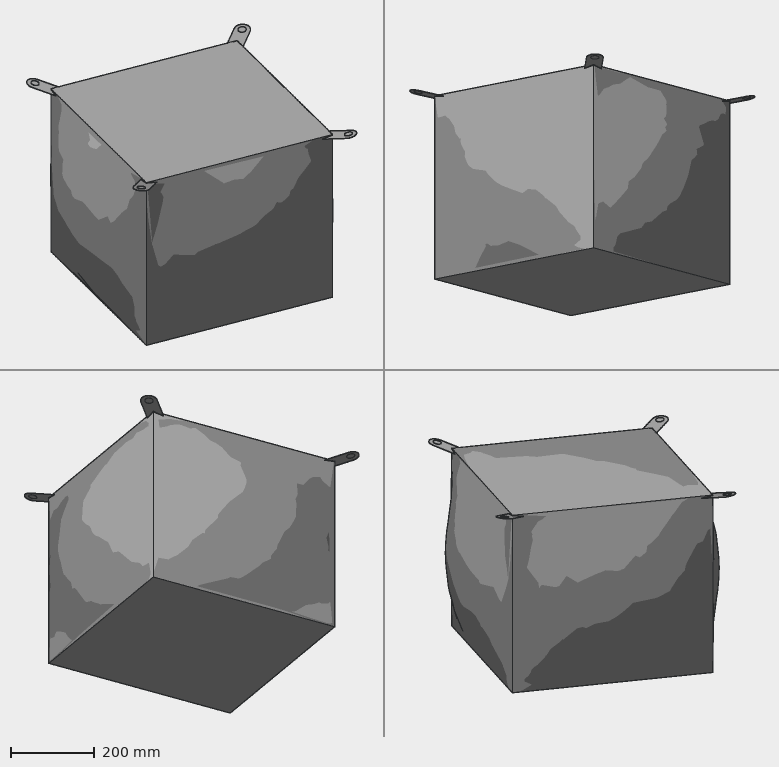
import cadquery as cq
import math

BAG_BULGED_WIDTH = 640.0
BAG_WIDTH = 500.0
BAG_HEIGHT = 450.0
TOP_BULGE = 29.5
WALL_BULGE = (BAG_BULGED_WIDTH - BAG_WIDTH) / 2
ARC_FRACTIONS = [-0.75, -0.5, -0.25, 0.0, 0.25, 0.5, 0.75]

STRAP_WIDTH = 40.5
STRAP_THICKNESS = 1.0
STRAP_TILT = 12.0
STRAP_DROP = 0.5
STRAP_REACH = 40.5
STRAP_ROOT = 38.5
EYELET_DIAMETER = 20.0
EYELET_HEIGHT = 1.0

HALF_WIDTH = BAG_WIDTH / 2


def arc_height(fraction, half_span, rise):
    """Height of a shallow circular arc at a signed fraction of its half span."""
    radius = (half_span**2 + rise**2) / (2 * rise)
    return math.sqrt(radius**2 - (fraction * half_span) ** 2) - (radius - rise)


def bulged_face(corners, bulge):
    """Four straight seams filled by a face through two crossing circular arcs."""
    a, b, c, d = [cq.Vector(*corner) for corner in corners]
    center = (a + c) * 0.5
    half_u = (b - a) * 0.5
    half_v = (d - a) * 0.5
    outward = half_u.cross(half_v).normalized()
    crown_points = []
    for fraction in ARC_FRACTIONS:
        crown_points.append(center + half_u * fraction + outward * arc_height(fraction, half_u.Length, bulge))
        if fraction != 0:
            crown_points.append(center + half_v * fraction + outward * arc_height(fraction, half_v.Length, bulge))
    seams = [cq.Edge.makeLine(p, q) for p, q in ((a, b), (b, c), (c, d), (d, a))]
    return cq.Face.makeNSidedSurface(seams, crown_points)


def make_bag():
    plan = [
        (-HALF_WIDTH, -HALF_WIDTH),
        (HALF_WIDTH, -HALF_WIDTH),
        (HALF_WIDTH, HALF_WIDTH),
        (-HALF_WIDTH, HALF_WIDTH),
    ]
    base = [(x, y, 0) for x, y in plan]
    rim = [(x, y, BAG_HEIGHT) for x, y in plan]
    faces = [
        cq.Face.makeFromWires(cq.Wire.makePolygon([cq.Vector(*p) for p in base], close=True)),
        bulged_face(rim, TOP_BULGE),
    ]
    for i in range(len(plan)):
        following = (i + 1) % len(plan)
        faces.append(bulged_face([base[i], base[following], rim[following], rim[i]], WALL_BULGE))
    return cq.Solid.makeSolid(cq.Shell.makeShell(faces)).fix()


def make_strap(direction, bag):
    """Strap pointing outward at the given angle in plan, trimmed to the bag's skin."""
    tab = (
        cq.Workplane("XY")
        .moveTo(-STRAP_ROOT, -STRAP_WIDTH / 2)
        .lineTo(STRAP_REACH, -STRAP_WIDTH / 2)
        .threePointArc((STRAP_REACH + STRAP_WIDTH / 2, 0), (STRAP_REACH, STRAP_WIDTH / 2))
        .lineTo(-STRAP_ROOT, STRAP_WIDTH / 2)
        .close()
        .extrude(-STRAP_THICKNESS)
    )
    eyelet = cq.Workplane("XY").center(STRAP_REACH, 0).circle(EYELET_DIAMETER / 2).extrude(EYELET_HEIGHT)
    strap = (
        tab.union(eyelet)
        .rotate((0, 0, 0), (0, 1, 0), -STRAP_TILT)
        .translate((HALF_WIDTH * math.sqrt(2), 0, BAG_HEIGHT - STRAP_DROP))
        .rotate((0, 0, 0), (0, 0, 1), direction)
    )
    return strap.cut(cq.Workplane(bag)).solids().vals()


bag = make_bag()
straps = []
for direction in (45, 135, 225, 315):
    straps.extend(make_strap(direction, bag))

result = cq.Compound.makeCompound([bag, *straps])